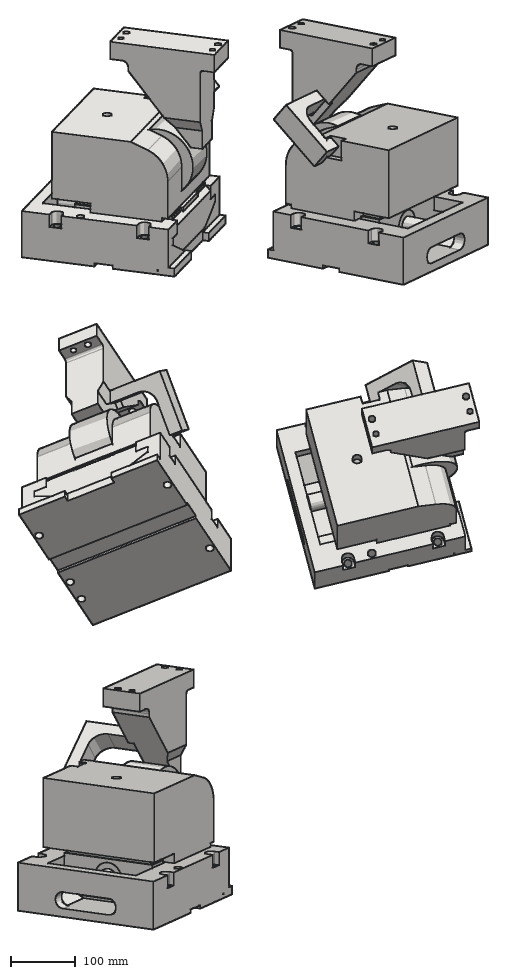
import cadquery as cq
import math


base_side = 240.0
base_height = 77.0
flange_length = 10.0
flange_height = 13.5
flange_gap_width = 81.0
key_slot_start = 118.5
key_slot_width = 30.0
key_slot_depth = 5.5
bolt_columns = (55.0, 198.2)
bolt_edge_inset = 8.5
bolt_diameter = 12.2
bolt_pocket_width = 19.5
bolt_pocket_depth = 20.7
extra_hole_x = 93.0
pin_mark_x = 222.5
pin_mark_z = 6.8
pin_mark_diameter = 1.7
pin_mark_depth = 3.5

channel_start = 19.5
channel_mouth_width = 155.7
well_floor_z = 13.5
well_floor_width = 87.0
channel_floor_z = 17.7
channel_slope_angle = 28.0
undercut_width = 197.2
undercut_top_z = 54.7
window_width = 106.8
window_height = 26.2
slide_start = 71.7
slide_end_chamfer = 8.0
plate_top_z = 81.5
tongue_width = 70.0
tongue_end = 234.3

screw_start = 20.0
screw_diameter = 27.0
screw_axis_z = 52.7
screw_tip_chamfer = 1.5
collar_diameter = 46.2
collar_length = 34.0

housing_start = 41.5
housing_end = 231.2
housing_width = 196.2
housing_top_z = 205.5
overhang_z = 95.0
neck_start = 74.5
neck_width = 147.0
skirt_start = 104.7
skirt_end = 221.5
skirt_bottom_z = 79.5
toe_bottom_z = 85.5
roof_slope_start = 170.7
roof_slope_end = 198.2
roof_slope_angle = 20.0
oil_hole_x = 98.0
oil_hole_diameter = 14.3
oil_hole_depth = 20.5
drill_point_angle = 118.0
tab_notch_start = 128.5
tab_notch_end = 156.0
tab_notch_depth = 12.2

drum_x = 193.8
drum_z = 149.3
drum_radius = 55.8
drum_width = 65.3

arm_width = 65.3
arm_top_z = 340.0
head_start = 114.0
head_end = 284.5
head_bottom_z = 311.0
arm_front_x = 143.5
arm_back_x = 261.5
arm_slope_distance = 55.5
arm_foot_z = 177.5
front_fillet = 10.0
back_fillet = 4.8
foot_width = 45.5
foot_chamfer_top_z = 225.5
foot_chamfer_bottom_z = 207.5
head_hole_columns = (124.8, 274.7)
head_hole_offset = 12.5
bolt_row_diameter = 10.2
dowel_row_diameter = 9.0

tilt = 40.0
bar_tip_x = 141.5
bar_tip_z = 190.7
bar_length = 98.3
bar_thickness = 36.0
bar_cross_width = 18.5
bar_outer_y = 119.5
bar_corner_radius = 24.5


def block(x0, x1, width, z0, z1):
    """A box centred on the middle plane."""
    return cq.Workplane("XY").box(x1 - x0, width, z1 - z0, centered=(False, True, False)).translate((x0, 0, z0))


def box_between(x0, x1, y0, y1, z0, z1):
    return cq.Workplane("XY").box(x1 - x0, y1 - y0, z1 - z0, centered=False).translate((x0, y0, z0))


def post(x, y, z0, z1, diameter):
    """An upright cylinder."""
    return cq.Workplane("XY").circle(diameter / 2).extrude(z1 - z0).translate((x, y, z0))


def along_x(x0, x1, z, diameter):
    """A cylinder along X in the middle plane."""
    return cq.Workplane("YZ").center(0, z).circle(diameter / 2).extrude(x1 - x0).translate((x0, 0, 0))


def prism_y(outline, width):
    """Extrude a closed XZ outline along Y, centred on the middle plane."""
    return outline.extrude(width).translate((0, width / 2, 0))



def drum_cylinder():
    circle = cq.Workplane("XZ").center(drum_x, drum_z).circle(drum_radius)
    return prism_y(circle, drum_width)



def channel_prism(x0, x1, floor_z):
    """The undercut channel section from x0 to x1; a higher floor meets the same side slopes further out."""
    slope = math.tan(math.radians(channel_slope_angle))
    floor_y = well_floor_width / 2 + (floor_z - well_floor_z) / slope
    outer_y = undercut_width / 2
    mouth_y = channel_mouth_width / 2
    slope_top_z = floor_z + (outer_y - floor_y) * slope
    half = [
        (floor_y, floor_z),
        (outer_y, slope_top_z),
        (outer_y, undercut_top_z),
        (mouth_y, undercut_top_z),
        (mouth_y, base_height),
    ]
    other_half = [(-y, z) for y, z in reversed(half)]
    return cq.Workplane("YZ").polyline(half + other_half).close().extrude(x1 - x0).translate((x0, 0, 0))



def bolt_seat(x, side):
    """A through hole and an open-sided pocket; side is +1 or -1 along Y."""
    edge_y = side * base_side / 2
    y = edge_y - side * bolt_edge_inset
    floor_z = base_height - bolt_pocket_depth
    pocket = post(x, y, floor_z, base_height, bolt_pocket_width)
    half_width = bolt_pocket_width / 2
    mouth = box_between(x - half_width, x + half_width, min(y, edge_y), max(y, edge_y), floor_z, base_height)
    return post(x, y, 0, base_height, bolt_diameter).union(pocket).union(mouth)


def make_base():
    base = block(0, base_side, base_side, 0, base_height)
    flange_end = base_side + flange_length
    flange = block(base_side, flange_end, base_side, 0, flange_height)
    base = base.union(flange.cut(block(base_side, flange_end, flange_gap_width, 0, flange_height)))
    base = base.cut(channel_prism(channel_start, slide_start, well_floor_z))
    base = base.cut(channel_prism(slide_start, base_side, channel_floor_z))
    base = base.cut(block(key_slot_start, key_slot_start + key_slot_width, base_side, 0, key_slot_depth))
    window = cq.Workplane("YZ").center(0, well_floor_z + window_height / 2)
    base = base.cut(window.slot2D(window_width, window_height).extrude(channel_start))
    for x in bolt_columns:
        for side in (-1, 1):
            base = base.cut(bolt_seat(x, side))
    front_row_y = bolt_edge_inset - base_side / 2
    base = base.cut(post(extra_hole_x, front_row_y, 0, base_height, bolt_diameter))
    pin_mark = cq.Workplane("XZ", origin=(pin_mark_x, -base_side / 2, pin_mark_z))
    return base.cut(pin_mark.circle(pin_mark_diameter / 2).extrude(-pin_mark_depth))



def make_slide():
    slide = channel_prism(slide_start, base_side, channel_floor_z)
    end_chamfer = (
        cq.Workplane("XZ")
        .moveTo(base_side, base_height)
        .lineTo(base_side - slide_end_chamfer, base_height)
        .lineTo(base_side, base_height - slide_end_chamfer)
        .close()
    )
    slide = slide.cut(prism_y(end_chamfer, channel_mouth_width))
    slide = slide.union(block(slide_start, housing_end, channel_mouth_width, base_height, plate_top_z))
    tongue_bottom_z = base_height - slide_end_chamfer
    slide = slide.union(block(slide_start, tongue_end, tongue_width, tongue_bottom_z, plate_top_z))
    return slide.cut(along_x(slide_start, slide_start + collar_length, screw_axis_z, collar_diameter))



def make_screw():
    collar_end = slide_start + collar_length
    screw = along_x(screw_start, collar_end, screw_axis_z, screw_diameter)
    screw = screw.faces("<X").chamfer(screw_tip_chamfer)
    return screw.union(along_x(slide_start, collar_end, screw_axis_z, collar_diameter))



def housing_profile():
    """Side outline: a flat roof, a short slope and a round shoulder tangent to the slope and the back."""
    angle = math.radians(roof_slope_angle)
    slope_end_z = housing_top_z - (roof_slope_end - roof_slope_start) * math.tan(angle)
    radius = (housing_end - roof_slope_end) / (1 - math.sin(angle))
    center_x = housing_end - radius
    center_z = slope_end_z - radius * math.cos(angle)
    mid_angle = (math.pi / 2 - angle) / 2
    arc_middle = (center_x + radius * math.cos(mid_angle), center_z + radius * math.sin(mid_angle))
    return (
        cq.Workplane("XZ")
        .moveTo(housing_start, overhang_z)
        .lineTo(housing_start, housing_top_z)
        .lineTo(roof_slope_start, housing_top_z)
        .lineTo(roof_slope_end, slope_end_z)
        .threePointArc(arc_middle, (housing_end, center_z))
        .lineTo(housing_end, toe_bottom_z)
        .lineTo(skirt_end, toe_bottom_z)
        .lineTo(skirt_end, skirt_bottom_z)
        .lineTo(skirt_start, skirt_bottom_z)
        .lineTo(skirt_start, overhang_z)
        .close()
    )


def oil_hole():
    """A blind drilled hole in the roof, ending in a drill point."""
    radius = oil_hole_diameter / 2
    shoulder_z = housing_top_z - oil_hole_depth
    point_z = shoulder_z - radius / math.tan(math.radians(drill_point_angle / 2))
    half_section = cq.Workplane("XZ", origin=(oil_hole_x, 0, 0)).polyline(
        [(0, housing_top_z), (radius, housing_top_z), (radius, shoulder_z), (0, point_z)]
    )
    return half_section.close().revolve(360, (0, 0, 0), (0, 1, 0))


def make_housing():
    housing = prism_y(housing_profile(), housing_width)
    housing = housing.cut(block(skirt_start, skirt_end, channel_mouth_width, skirt_bottom_z, plate_top_z))
    housing = housing.union(block(neck_start, skirt_start, neck_width, plate_top_z, overhang_z))
    housing = housing.cut(drum_cylinder())
    housing = housing.cut(oil_hole())
    side_y = housing_width / 2
    notch = box_between(
        tab_notch_start, tab_notch_end, side_y - tab_notch_depth, side_y, tab_notch_floor_z, housing_top_z
    )
    return housing.cut(notch)



tilt_cos = math.cos(math.radians(tilt))
tilt_sin = math.sin(math.radians(tilt))
bar_plane = cq.Plane(
    origin=(bar_tip_x, 0, bar_tip_z), xDir=(tilt_cos, 0, tilt_sin), normal=(-tilt_sin, 0, tilt_cos)
)
cross_inner = bar_length - bar_cross_width

tab_notch_floor_z = bar_tip_z - (tab_notch_end - bar_tip_x) * tilt_cos / tilt_sin


def slope_x(z):
    """X of the arm's sloping face at a given Z."""
    return drum_x + (arm_slope_distance - (z - drum_z) * tilt_sin) / tilt_cos


def slope_z(x):
    """Z of the arm's sloping face at a given X."""
    return drum_z + (arm_slope_distance - (x - drum_x) * tilt_cos) / tilt_sin


def arm_profile():
    """Side outline: a flat head on a web that tapers down to the foot."""
    quarter = math.sqrt(0.5)
    front_center = (arm_front_x - front_fillet, head_bottom_z - front_fillet)
    front_middle = (front_center[0] + front_fillet * quarter, front_center[1] + front_fillet * quarter)
    back_center = (arm_back_x + back_fillet, head_bottom_z - back_fillet)
    back_middle = (back_center[0] - back_fillet * quarter, back_center[1] + back_fillet * quarter)
    return (
        cq.Workplane("XZ")
        .moveTo(head_start, arm_top_z)
        .lineTo(head_start, head_bottom_z)
        .lineTo(front_center[0], head_bottom_z)
        .threePointArc(front_middle, (arm_front_x, front_center[1]))
        .lineTo(arm_front_x, slope_z(arm_front_x))
        .lineTo(slope_x(arm_foot_z), arm_foot_z)
        .lineTo(arm_back_x, arm_foot_z)
        .lineTo(arm_back_x, back_center[1])
        .threePointArc(back_middle, (back_center[0], head_bottom_z))
        .lineTo(head_end, head_bottom_z)
        .lineTo(head_end, arm_top_z)
        .close()
    )


def foot_section():
    """End outline: full width above, narrowing through two bevels to the foot."""
    half = [
        (foot_width / 2, arm_foot_z),
        (foot_width / 2, foot_chamfer_bottom_z),
        (arm_width / 2, foot_chamfer_top_z),
        (arm_width / 2, arm_top_z),
    ]
    other_half = [(-y, z) for y, z in reversed(half)]
    return cq.Workplane("YZ").polyline(half + other_half).close().extrude(head_end)


def bar_relief():
    """Step beside the foot that clears the sloping face in front of the bent bar."""
    length = arm_top_z - arm_foot_z
    rectangle = cq.Workplane(bar_plane).moveTo(0, foot_width / 2).rect(cross_inner, arm_width, centered=False)
    return rectangle.extrude(-length)


def bent_bar():
    """An L-shaped bar reaching from the arm around the side of the housing."""
    inner_y = housing_width / 2
    bend_center = (cross_inner - bar_corner_radius, inner_y - bar_corner_radius)
    reach = bar_corner_radius * math.sqrt(0.5)
    outline = (
        cq.Workplane(bar_plane)
        .moveTo(0, inner_y)
        .lineTo(0, bar_outer_y)
        .lineTo(bar_length, bar_outer_y)
        .lineTo(bar_length, foot_width / 2)
        .lineTo(cross_inner, foot_width / 2)
        .lineTo(cross_inner, bend_center[1])
        .threePointArc((bend_center[0] + reach, bend_center[1] + reach), (bend_center[0], inner_y))
        .close()
    )
    return outline.extrude(-bar_thickness)


def bar_tab():
    """A wedge at the tip of the bar that fills the far end of the housing notch."""
    upper_z = bar_tip_z + (tab_notch_end - bar_tip_x) * tilt_sin / tilt_cos
    inner_y = housing_width / 2
    outline = cq.Workplane("XZ", origin=(0, inner_y, 0)).polyline(
        [(bar_tip_x, bar_tip_z), (tab_notch_end, upper_z), (tab_notch_end, tab_notch_floor_z)]
    )
    return outline.close().extrude(tab_notch_depth)


def make_arm():
    arm = prism_y(arm_profile(), arm_width).intersect(foot_section())
    arm = arm.cut(bar_relief()).union(bent_bar()).union(bar_tab()).union(drum_cylinder())
    for x in head_hole_columns:
        arm = arm.cut(post(x, head_hole_offset, head_bottom_z - front_fillet, arm_top_z, bolt_row_diameter))
        arm = arm.cut(post(x, -head_hole_offset, head_bottom_z - front_fillet, arm_top_z, dowel_row_diameter))
    return arm


base = make_base()
slide = make_slide()
screw = make_screw()
housing = make_housing()
arm = make_arm()

bodies = (base, slide, screw, housing, arm)
result = cq.Compound.makeCompound([body.solids().val() for body in bodies])